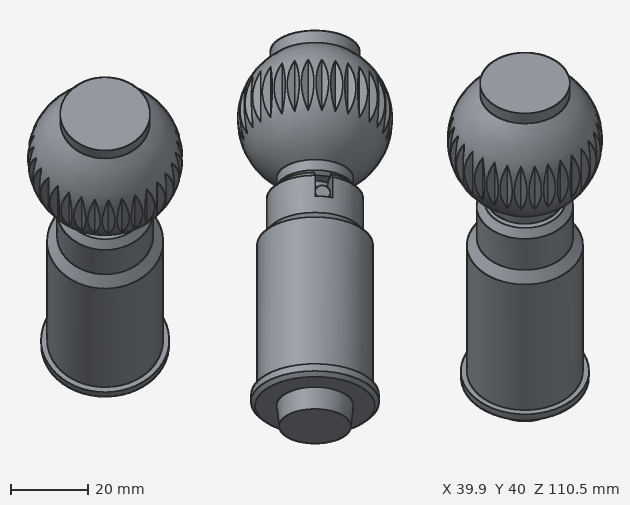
import cadquery as cq
import math

total_height = 110.5
flange_bottom = 6.1
flange_top = 9.3
shoulder_bottom = 53.5
slot_bottom = 61.1
pin_height = 63.4
housing_top = 69.2
ball_center = 90.6

barrel_radius = 15.0
nose_radius = 12.5
shoulder_height = 2.8
nose_chamfer = 2.0
flange_radius = 16.6
flange_chamfer = 1.1

guide_radius = 10.0
tip_radius = 9.3
rod_radius = 6.0
neck_radius = guide_radius
neck_chamfer = 1.0
ball_radius = 20.0
cap_radius = 11.6

pin_radius = 2.0
pin_reach = 10.5
slot_width = 4.5

groove_count = 33
groove_root_radius = 18.6
groove_angle = 100.0
groove_overrun = 0.5


def ball_height_at(radius):
    """Distance from the ball's centre plane to its surface at a radius."""
    return math.sqrt(ball_radius**2 - radius**2)


def make_grip_grooves():
    """V prisms with vertical root lines, evenly spaced around the ball."""
    outer_radius = ball_radius + groove_overrun
    half_width = (outer_radius - groove_root_radius) * math.tan(math.radians(groove_angle / 2))
    half_length = ball_height_at(groove_root_radius) + groove_overrun
    groove = (
        cq.Workplane("XY", origin=(0, 0, ball_center))
        .moveTo(groove_root_radius, 0)
        .lineTo(outer_radius, half_width)
        .lineTo(outer_radius, -half_width)
        .close()
        .extrude(half_length, both=True)
        .val()
    )
    pitch = 360.0 / groove_count
    return [groove.rotate((0, 0, 0), (0, 0, 1), i * pitch) for i in range(groove_count)]


def make_cross_pin():
    """Round pin that stands out of the rod towards -X."""
    return cq.Workplane("YZ", origin=(0, 0, pin_height)).circle(pin_radius).extrude(-pin_reach)


def make_plunger():
    """Tapered tip, guide head, rod, neck, ball and cap turned as one piece, with the cross pin."""
    turned = (
        cq.Workplane("XZ")
        .moveTo(0, 0)
        .lineTo(tip_radius, 0)
        .lineTo(guide_radius, flange_bottom)
        .lineTo(guide_radius, shoulder_bottom)
        .lineTo(rod_radius, shoulder_bottom)
        .lineTo(rod_radius, housing_top)
        .lineTo(neck_radius - neck_chamfer, housing_top)
        .lineTo(neck_radius, housing_top + neck_chamfer)
        .lineTo(neck_radius, ball_center - ball_height_at(neck_radius))
        .threePointArc((ball_radius, ball_center), (cap_radius, ball_center + ball_height_at(cap_radius)))
        .lineTo(cap_radius, total_height)
        .lineTo(0, total_height)
        .close()
        .revolve(360, (0, 0), (0, 1))
    )
    for groove in make_grip_grooves():
        turned = turned.cut(cq.Workplane(groove))
    return turned.union(make_cross_pin())


def make_stepped_bore():
    """Wide bore for the guide head, then a narrow bore for the rod."""
    wide = cq.Workplane("XY").circle(guide_radius).extrude(shoulder_bottom)
    narrow = cq.Workplane("XY").circle(rod_radius).extrude(housing_top)
    return wide.union(narrow)


def make_pin_slot():
    """Open-topped slot through the -X wall of the nose."""
    slot_height = housing_top - slot_bottom
    return cq.Workplane("XY", origin=(-nose_radius / 2, 0, slot_bottom)).box(
        nose_radius, slot_width, slot_height, centered=(True, True, False)
    )


def make_housing():
    """Flanged barrel that narrows to a chamfered nose."""
    turned = (
        cq.Workplane("XZ")
        .moveTo(0, flange_bottom)
        .lineTo(flange_radius - flange_chamfer, flange_bottom)
        .lineTo(flange_radius, flange_bottom + flange_chamfer)
        .lineTo(flange_radius, flange_top)
        .lineTo(barrel_radius, flange_top)
        .lineTo(barrel_radius, shoulder_bottom)
        .lineTo(nose_radius, shoulder_bottom + shoulder_height)
        .lineTo(nose_radius, housing_top - nose_chamfer)
        .lineTo(nose_radius - nose_chamfer, housing_top)
        .lineTo(0, housing_top)
        .close()
        .revolve(360, (0, 0), (0, 1))
    )
    return turned.cut(make_stepped_bore()).cut(make_pin_slot())


plunger = make_plunger()
housing = make_housing()
result = cq.Compound.makeCompound([plunger.val(), housing.val()])